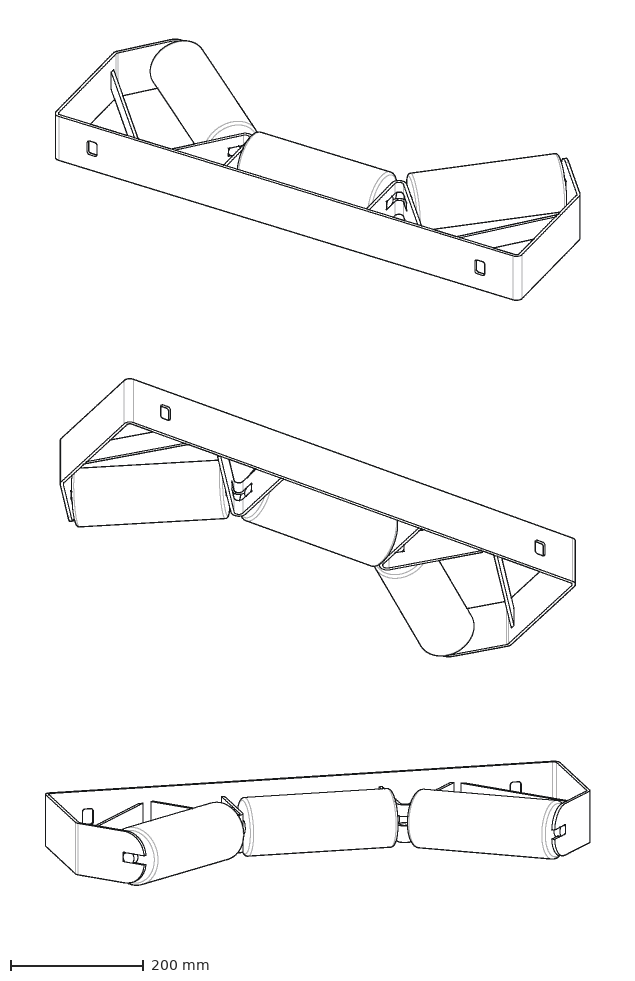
import cadquery as cq
import math


frame_width = 800.0
plate_thickness = 5.0
strap_height = 80.0
trough_angle = 40.0

strap_inner_radius = 5.0
wall_height = 193.0
arm_length = 126.0
arm_end_radius = 36.0
base_hole_width = 17.0
base_hole_height = 25.0
base_hole_corner = 4.0
base_hole_x = 333.0

bracket_x = 120.0
bracket_top_y = 125.0
bracket_height = 58.0
bracket_bend_radius = 12.0

brace_foot_x = 254.0
brace_height = 32.0

roller_diameter = 89.0
roller_length = 230.0
roller_fillet = 4.0
shaft_diameter = 20.0
shaft_flat_width = 14.0
flat_relief = 1.0

center_roller_y = 98.0
side_seat_distance = 97.0
side_roller_tilt = 1.6

wall_x = frame_width / 2
mid_z = strap_height / 2
lean = math.radians(trough_angle)
sin_lean = math.sin(lean)
cos_lean = math.cos(lean)
strap_outer_radius = strap_inner_radius + plate_thickness
inner_wall_x = wall_x - plate_thickness
inner_wall_height = wall_height - plate_thickness * math.tan(lean / 2)
bracket_bend_x = bracket_x + bracket_bend_radius
bracket_bend_y = bracket_top_y - bracket_bend_radius
bracket_inner_radius = bracket_bend_radius - plate_thickness

arm_face = wall_x * cos_lean + wall_height * sin_lean - plate_thickness
bracket_face = bracket_bend_x * cos_lean + bracket_bend_y * sin_lean + bracket_bend_radius
side_span = arm_face - bracket_face
center_span = 2 * bracket_x

seat_x = wall_x - side_seat_distance * sin_lean
seat_y = wall_height + side_seat_distance * cos_lean
seat_to_center = plate_thickness + side_span / 2
side_roller_x = seat_x - seat_to_center * cos_lean
side_roller_y = seat_y - seat_to_center * sin_lean
side_slope = math.tan(math.radians(side_roller_tilt))
side_roller_z = mid_z - seat_to_center * side_slope
center_roller_z = mid_z - 2 * seat_to_center * side_slope


def mirrored(body):
    return body.mirror("YZ")


def place_center(body):
    return body.translate((0, center_roller_y, center_roller_z))


def place_side(body):
    return (body.rotate((0, 0, 0), (0, 1, 0), -side_roller_tilt)
            .rotate((0, 0, 0), (0, 0, 1), trough_angle)
            .translate((side_roller_x, side_roller_y, side_roller_z)))


def flat_block(start, length, width):
    """Block between the two shaft flats, from X = start and from the -Y side of the shaft."""
    block = cq.Workplane("XY").box(length, width, shaft_flat_width, centered=(False, False, True))
    return block.translate((start, -shaft_diameter / 2, 0))


def make_shaft_end(start, length):
    round_end = cq.Workplane("YZ", origin=(start, 0, 0)).circle(shaft_diameter / 2).extrude(length)
    return round_end.intersect(flat_block(start, length, shaft_diameter))


def make_roller(span):
    half = roller_length / 2
    radius = roller_diameter / 2
    flat_start = span / 2 - flat_relief
    shell = (cq.Workplane("XZ")
             .moveTo(-half, 0)
             .lineTo(-half, radius - roller_fillet)
             .radiusArc((-half + roller_fillet, radius), roller_fillet)
             .lineTo(half - roller_fillet, radius)
             .radiusArc((half, radius - roller_fillet), roller_fillet)
             .lineTo(half, 0)
             .close()
             .revolve(360, (0, 0, 0), (1, 0, 0)))
    shaft = cq.Workplane("YZ", origin=(-flat_start, 0, 0)).circle(shaft_diameter / 2).extrude(2 * flat_start)
    end = make_shaft_end(flat_start, plate_thickness + flat_relief)
    return shell.union(shaft).union(end).union(mirrored(end))


def seat_slot(span, depth, reach):
    """Square-bottomed slot in a plate, which takes a shaft end and lets it drop in."""
    return flat_block(span / 2 - flat_relief, depth + flat_relief, reach)


def make_strap():
    tip = (wall_x - arm_length * sin_lean, wall_height + arm_length * cos_lean)
    inner_tip = (tip[0] - plate_thickness * cos_lean, tip[1] - plate_thickness * sin_lean)
    half = (cq.Workplane("XY")
            .polyline([(0, 0), (wall_x, 0), (wall_x, wall_height), tip, inner_tip,
                       (inner_wall_x, inner_wall_height), (inner_wall_x, plate_thickness),
                       (0, plate_thickness)])
            .close().extrude(strap_height))
    outer_corners = [(wall_x, 0), (wall_x, wall_height)]
    inner_corners = [(inner_wall_x, plate_thickness), (inner_wall_x, inner_wall_height)]
    for corners, radius in ((outer_corners, strap_outer_radius),
                            (inner_corners, strap_inner_radius)):
        for x, y in corners:
            half = half.edges(cq.selectors.NearestToPointSelector((x, y, mid_z))).fillet(radius)
    for z in (0, strap_height):
        end_corner = cq.selectors.NearestToPointSelector(
            ((tip[0] + inner_tip[0]) / 2, (tip[1] + inner_tip[1]) / 2, z))
        half = half.edges(end_corner).fillet(arm_end_radius)
    hole = (cq.Workplane("XZ", origin=(base_hole_x, 0, mid_z))
            .rect(base_hole_width, base_hole_height).extrude(-plate_thickness)
            .edges("|Y").fillet(base_hole_corner))
    half = half.cut(hole).cut(place_side(seat_slot(side_span, 2 * plate_thickness, arm_length)))
    return half.union(mirrored(half))


def make_bracket():
    def on_bend(radius, angle):
        return (bracket_bend_x + radius * math.cos(angle), bracket_bend_y + radius * math.sin(angle))

    crest = (lean + math.pi) / 2
    inner_start = on_bend(bracket_inner_radius, lean)
    leg_length = (inner_start[1] - plate_thickness) / cos_lean
    foot = (inner_start[0] + leg_length * sin_lean, plate_thickness)
    outer_foot = (foot[0] + plate_thickness * cos_lean, foot[1] + plate_thickness * sin_lean)
    bracket = (cq.Workplane("XY")
               .moveTo(bracket_x, plate_thickness)
               .lineTo(*on_bend(bracket_bend_radius, math.pi))
               .threePointArc(on_bend(bracket_bend_radius, crest), on_bend(bracket_bend_radius, lean))
               .lineTo(*outer_foot)
               .lineTo(*foot)
               .lineTo(*inner_start)
               .threePointArc(on_bend(bracket_inner_radius, crest), on_bend(bracket_inner_radius, math.pi))
               .lineTo(bracket_x + plate_thickness, plate_thickness)
               .close().extrude(bracket_height))
    center_slot = seat_slot(center_span, bracket_bend_radius, bracket_top_y)
    side_slot = mirrored(seat_slot(side_span, bracket_bend_radius, bracket_top_y))
    return bracket.cut(place_center(center_slot)).cut(place_side(side_slot))


def make_brace():
    wall_end_y = plate_thickness + (inner_wall_x - brace_foot_x) / math.tan(lean)
    return (cq.Workplane("XY", origin=(0, 0, mid_z - brace_height / 2))
            .polyline([(brace_foot_x, plate_thickness),
                       (inner_wall_x, wall_end_y),
                       (inner_wall_x, wall_end_y + plate_thickness / sin_lean),
                       (brace_foot_x - plate_thickness / cos_lean, plate_thickness)])
            .close().extrude(brace_height))


strap = make_strap()
bracket = make_bracket()
brace = make_brace()
center_roller = place_center(make_roller(center_span))
side_roller = place_side(make_roller(side_span))

bodies = [strap.solids().val(), center_roller.solids().val()]
for body in (bracket, brace, side_roller):
    bodies += [body.solids().val(), mirrored(body).solids().val()]

result = cq.Compound.makeCompound(bodies)